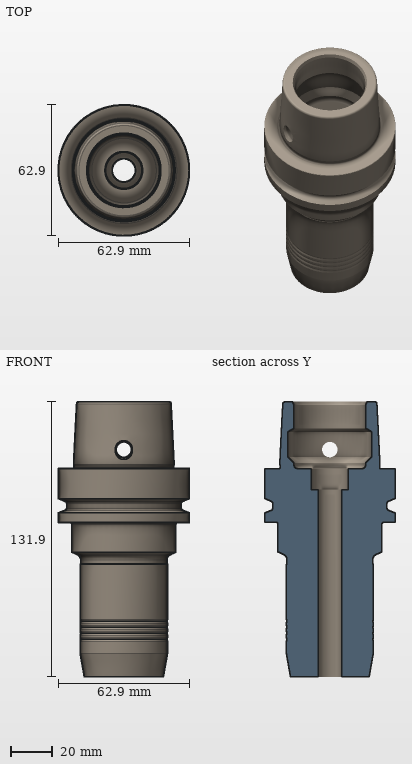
import cadquery as cq
import math

total_height = 131.9

nose_radius = 21.0
nose_cone_height = 11.5
nose_cone_angle = 10.0
grip_groove_count = 4
grip_groove_pitch = 2.9
grip_groove_width = 1.8
grip_groove_depth = 0.3
lowest_grip_groove_z = 18.1

relief_radius = 20.7
relief_bottom_z = 54.1
neck_fillet = 2.6
neck_cone_angle = 25.0

body_radius = 50.0 / 2
body_bottom_z = 59.9
body_fillet = 0.8

flange_radius = 62.9 / 2
flange_bottom_z = 74.0
flange_top_z = 100.0
flange_edge_chamfer = 0.2
gripper_center_z = 82.0
gripper_root_radius = 55.0 / 2
gripper_mouth_width = 6.9
gripper_root_width = 2.4
gripper_fillet = 0.9

shank_neck_step = 0.2
shank_neck_top_z = 101.2
shank_neck_fillet = 0.7
face_recess_radius = 25.3
face_recess_depth = 0.2
shank_base_radius = 24.1
shank_neck_radius = shank_base_radius - shank_neck_step
shank_base_z = 102.0
shank_slope = 1 / 20
shank_rim_fillet = 1.0

bore_radius = 34.2 / 2
bore_mouth_radius = 17.8
bore_mouth_depth = 1.5
bore_straight_depth = 12.8
bore_floor_depth = 31.9
clamp_groove_radius = 20.0
clamp_groove_floor_depth = 26.4
clamp_groove_angle = 30.0
bore_floor_fillet = 1.6
seat_radius = 8.7
seat_depth = 10.0
seat_chamfer = 0.33
through_radius = 5.5

cross_hole_radius = 3.7
cross_hole_z = 109.0
cross_hole_countersink_radius = 4.5


def point_on_arc(center_r, center_z, radius, angle):
    """Point on a circle in the profile plane, at an angle in degrees from the outward direction."""
    turn = math.radians(angle)
    return center_r + radius * math.cos(turn), center_z + radius * math.sin(turn)


def shank_radius_at(z):
    return shank_base_radius - shank_slope * (z - shank_base_z)


def add_nose(profile):
    nose_tip_radius = nose_radius - nose_cone_height * math.tan(math.radians(nose_cone_angle))
    return profile.lineTo(nose_tip_radius, 0).lineTo(nose_radius, nose_cone_height)


def add_grip_grooves(profile):
    half_width = grip_groove_width / 2
    for index in range(grip_groove_count):
        center_z = lowest_grip_groove_z + index * grip_groove_pitch
        profile = (
            profile.lineTo(nose_radius, center_z - half_width)
            .lineTo(nose_radius - grip_groove_depth, center_z)
            .lineTo(nose_radius, center_z + half_width)
        )
    return profile


def add_neck(profile):
    """Step in to the relieved neck, then sweep out to the lower edge of the body."""
    step = nose_radius - relief_radius
    center_r = relief_radius + neck_fillet
    sweep = 90 - neck_cone_angle

    cone_angle = math.radians(neck_cone_angle)
    cone_width = body_radius - center_r + neck_fillet * math.sin(cone_angle)
    cone_height = cone_width * math.tan(cone_angle)
    relief_top_z = body_bottom_z - cone_height - neck_fillet * math.cos(cone_angle)

    def on_fillet(angle):
        return point_on_arc(center_r, relief_top_z, neck_fillet, 180 - angle)

    return (
        profile.lineTo(nose_radius, relief_bottom_z - step / 2)
        .lineTo(relief_radius, relief_bottom_z + step / 2)
        .lineTo(relief_radius, relief_top_z)
        .threePointArc(on_fillet(sweep / 2), on_fillet(sweep))
        .lineTo(body_radius, body_bottom_z)
    )


def add_body(profile):
    center_r = body_radius + body_fillet
    center_z = flange_bottom_z - body_fillet
    return profile.lineTo(body_radius, center_z).threePointArc(
        point_on_arc(center_r, center_z, body_fillet, 135), (center_r, flange_bottom_z)
    )


def add_flange(profile):
    """Flange with a flat-rooted gripper groove whose sloping sides blend into the root."""
    edge_r = flange_radius - flange_edge_chamfer
    blend_r = gripper_root_radius + gripper_fillet
    half_root = gripper_root_width / 2
    half_mouth = gripper_mouth_width / 2
    root_low = gripper_center_z - half_root
    root_high = gripper_center_z + half_root

    mouth_dr = flange_radius - blend_r
    mouth_dz = half_mouth - half_root
    reach = math.hypot(mouth_dr, mouth_dz)
    tangent_angle = math.degrees(math.atan2(mouth_dz, mouth_dr) + math.acos(gripper_fillet / reach))

    return (
        profile.lineTo(edge_r, flange_bottom_z)
        .lineTo(flange_radius, flange_bottom_z + flange_edge_chamfer)
        .lineTo(flange_radius, gripper_center_z - half_mouth)
        .lineTo(*point_on_arc(blend_r, root_low, gripper_fillet, -tangent_angle))
        .threePointArc(
            point_on_arc(blend_r, root_low, gripper_fillet, -(180 + tangent_angle) / 2),
            (gripper_root_radius, root_low),
        )
        .lineTo(gripper_root_radius, root_high)
        .threePointArc(
            point_on_arc(blend_r, root_high, gripper_fillet, (180 + tangent_angle) / 2),
            point_on_arc(blend_r, root_high, gripper_fillet, tangent_angle),
        )
        .lineTo(flange_radius, gripper_center_z + half_mouth)
        .lineTo(flange_radius, flange_top_z - flange_edge_chamfer)
        .lineTo(edge_r, flange_top_z)
    )


def add_shank(profile):
    """Sloping recess in the flange face, short neck, the taper itself and its rounded top rim."""
    recess_z = flange_top_z - face_recess_depth
    fillet_r = shank_neck_radius + shank_neck_fillet
    fillet_z = recess_z + shank_neck_fillet
    rim_z = total_height - shank_rim_fillet
    rim_r = shank_radius_at(rim_z)
    rim_center_r = rim_r - shank_rim_fillet
    return (
        profile.lineTo(face_recess_radius, flange_top_z)
        .lineTo(fillet_r, recess_z)
        .threePointArc(
            point_on_arc(fillet_r, fillet_z, shank_neck_fillet, 225),
            (shank_neck_radius, fillet_z),
        )
        .lineTo(shank_neck_radius, shank_neck_top_z)
        .lineTo(shank_base_radius, shank_base_z)
        .lineTo(rim_r, rim_z)
        .threePointArc(
            point_on_arc(rim_center_r, rim_z, shank_rim_fillet, 45),
            (rim_center_r, total_height),
        )
    )


def add_bore(profile):
    """Chamfered mouth, clamping groove, rounded floor, seat and through hole."""
    floor_z = total_height - bore_floor_depth
    fillet_r = bore_radius - bore_floor_fillet
    fillet_z = floor_z + bore_floor_fillet
    seat_z = floor_z - seat_depth
    groove_width = clamp_groove_radius - bore_radius
    groove_slope = math.tan(math.radians(clamp_groove_angle))
    groove_top_z = total_height - bore_straight_depth - groove_width * groove_slope
    groove_floor_z = total_height - clamp_groove_floor_depth
    return (
        profile.lineTo(bore_mouth_radius, total_height)
        .lineTo(bore_radius, total_height - bore_mouth_depth)
        .lineTo(bore_radius, total_height - bore_straight_depth)
        .lineTo(clamp_groove_radius, groove_top_z)
        .lineTo(clamp_groove_radius, groove_floor_z)
        .lineTo(bore_radius, groove_floor_z - groove_width)
        .lineTo(bore_radius, fillet_z)
        .threePointArc(
            point_on_arc(fillet_r, fillet_z, bore_floor_fillet, -45),
            (fillet_r, floor_z),
        )
        .lineTo(seat_radius + seat_chamfer, floor_z)
        .lineTo(seat_radius, floor_z - seat_chamfer)
        .lineTo(seat_radius, seat_z)
        .lineTo(through_radius, seat_z)
    )


def make_holder():
    profile = cq.Workplane("XZ").moveTo(through_radius, 0)
    for add_section in (add_nose, add_grip_grooves, add_neck, add_body, add_flange, add_shank, add_bore):
        profile = add_section(profile)
    return profile.close().revolve(360, (0, 0, 0), (0, 1, 0))


def make_cross_hole():
    """Hole along Y with a 45 degree countersink where it meets the shank on each side."""
    surface_r = shank_radius_at(cross_hole_z)
    countersink_depth = cross_hole_countersink_radius - cross_hole_radius
    inner_r = surface_r - countersink_depth
    outer_r = surface_r + countersink_depth
    outer_radius = cross_hole_countersink_radius + countersink_depth
    return (
        cq.Workplane("XY")
        .polyline(
            [
                (0, -outer_r),
                (outer_radius, -outer_r),
                (cross_hole_radius, -inner_r),
                (cross_hole_radius, inner_r),
                (outer_radius, outer_r),
                (0, outer_r),
            ]
        )
        .close()
        .revolve(360, (0, 0, 0), (0, 1, 0))
        .translate((0, 0, cross_hole_z))
    )


result = make_holder().cut(make_cross_hole())